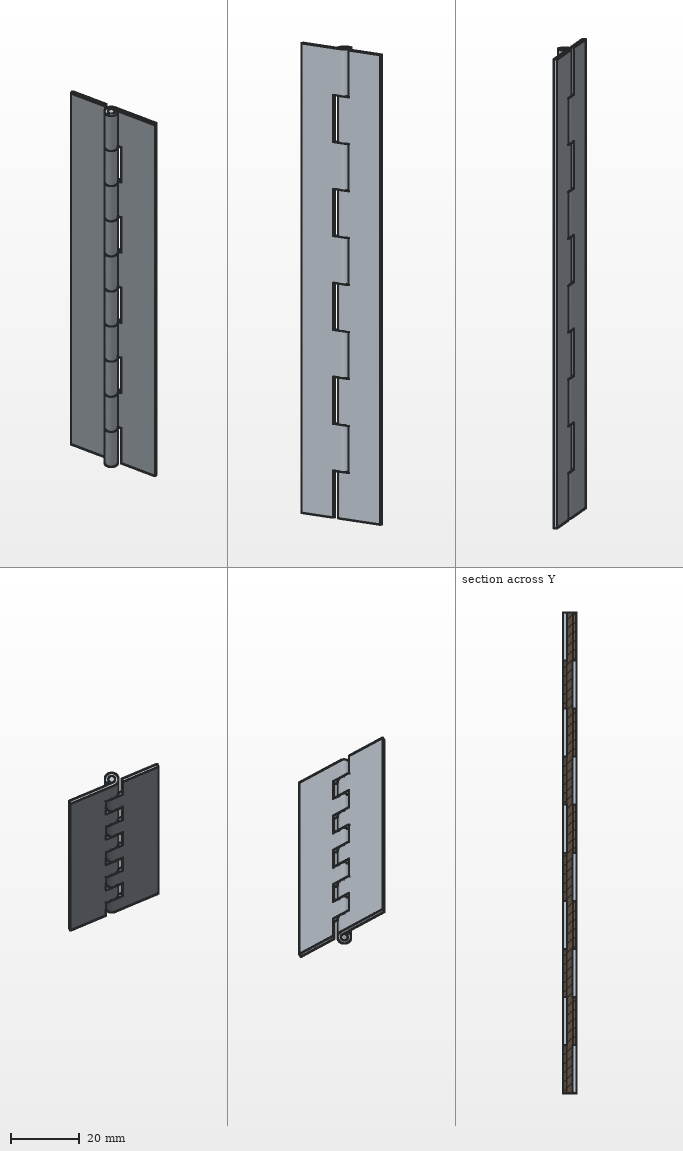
import cadquery as cq

hinge_length = 140.0
open_width = 28.0
pin_radius = 1.01
leaf_thickness = 1.0
knuckle_count = 10
curl_gap = 0.5
side_clearance = 0.7

knuckle_radius = pin_radius + leaf_thickness
knuckle_length = hinge_length / knuckle_count
leaf_reach = open_width / 2
notch_edge = knuckle_radius + side_clearance
leaf_back = knuckle_radius
leaf_front = leaf_back - leaf_thickness
bottom = -hinge_length / 2


def make_plate(side, inner_edge, start_z, length):
    """Flat strip from inner_edge to the outer leaf edge; side is -1 (left) or +1 (right)."""
    width = leaf_reach - inner_edge
    return (
        cq.Workplane("XY", origin=(0, 0, start_z))
        .center(side * (inner_edge + width / 2), leaf_front + leaf_thickness / 2)
        .rect(width, leaf_thickness)
        .extrude(length)
    )


def make_knuckle(side, start_z):
    """Barrel rolled from a strip tangent to its back, with a slit where the rolled end meets the leaf."""
    barrel = cq.Workplane("XY", origin=(0, 0, start_z)).circle(knuckle_radius).extrude(knuckle_length)
    slit = (
        cq.Workplane("XY", origin=(0, 0, start_z))
        .center(side * knuckle_radius / 2, leaf_front - curl_gap / 2)
        .rect(knuckle_radius, curl_gap)
        .extrude(knuckle_length)
    )
    return barrel.union(make_plate(side, 0, start_z, knuckle_length)).cut(slit)


def make_leaf(side, first_knuckle):
    """Leaf carrying every second knuckle, counted upward from the bottom."""
    leaf = make_plate(side, notch_edge, bottom, hinge_length)
    for index in range(first_knuckle, knuckle_count, 2):
        leaf = leaf.union(make_knuckle(side, bottom + index * knuckle_length))
    bore = cq.Workplane("XY", origin=(0, 0, bottom)).circle(pin_radius).extrude(hinge_length)
    return leaf.cut(bore)


def make_pin():
    """Plain pin, flush with both ends of the hinge."""
    return cq.Workplane("XY", origin=(0, 0, bottom)).circle(pin_radius).extrude(hinge_length)


left_leaf = make_leaf(-1, 0)
right_leaf = make_leaf(1, 1)
pin = make_pin()

result = cq.Compound.makeCompound([left_leaf.val(), right_leaf.val(), pin.val()])